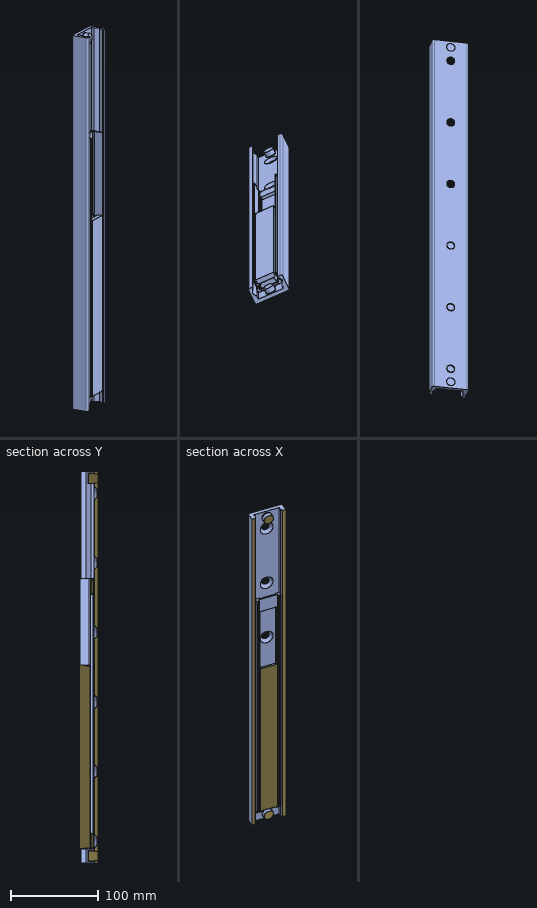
import cadquery as cq

overall_depth = 22.0

rail_length = 450.0
rail_width = 43.0
rail_depth = 21.0
rail_back = -overall_depth / 2
rail_edge_radius = 2.2
web_thickness = 5.0
flange_thickness = 6.0
hole_diameter = 9.0
hole_count = 6
hole_inset = 25.0
countersink_diameter = 16.0

raceway_x = 3.0
rail_groove_width = 11.2
rail_groove_depth = 3.0
slider_groove_width = 6.5
slider_groove_depth = 3.0

slider_length = 211.5
slider_bottom = 16.0
slider_back = -2.0
slider_front = overall_depth / 2
slider_width = 22.5
plate_thickness = 6.5
recess_width = 19.0
recess_depth = 1.0

cage_length = 310.5
cage_width = 30.0
web_clearance = 0.5
bridge_thickness = 3.5
bridge_nose_radius = 3.0
bridge_length = 18.0
bridge_width = 20.5
strip_thickness = 2.5
root_front = 0.0
root_thickness = 3.0
blade_thickness = 1.5
blade_front = 10.5

stop_inset = 8.0
stop_shank_diameter = 10.0
stop_head_diameter = 12.0
stop_head_height = 6.8

rail_front = rail_back + rail_depth
web_front = rail_back + web_thickness
channel_width = rail_width - 2 * flange_thickness
cage_back = web_front + web_clearance
cage_web_front = cage_back + bridge_thickness
hole_pitch = (rail_length - 2 * hole_inset) / (hole_count - 1)
hole_heights = [hole_inset + i * hole_pitch for i in range(hole_count)]
countersink_depth = (countersink_diameter - hole_diameter) / 2
stop_heights = [stop_inset, rail_length - stop_inset]


def slab(x_range, y_range, z_range):
    """A box between the given limits along X, Y and Z."""
    (x0, x1), (y0, y1), (z0, z1) = x_range, y_range, z_range
    return cq.Workplane("XY").box(x1 - x0, y1 - y0, z1 - z0, centered=False).translate((x0, y0, z0))


def centred_slab(x_range, width, z_range):
    """A box of the given width along Y, centred on the XZ plane."""
    return slab(x_range, (-width / 2, width / 2), z_range)


def x_cylinder(diameter, x_range, z):
    """A cylinder along X, centred on y = 0 at height z."""
    x0, x1 = x_range
    return cq.Workplane("YZ", origin=(x0, 0, z)).circle(diameter / 2).extrude(x1 - x0)


def v_grooves(surface_y, width, apex_y):
    """A mirrored pair of V-shaped bars that run the full height at y = +/- surface_y."""
    groove = (
        cq.Workplane("XY")
        .moveTo(raceway_x - width / 2, surface_y)
        .lineTo(raceway_x, apex_y)
        .lineTo(raceway_x + width / 2, surface_y)
        .close()
        .extrude(rail_length)
    )
    return groove.union(groove.mirror("XZ"))


def countersunk_hole(z):
    """A hole through the rail web with a 90 degree countersink on the channel side."""
    cone = cq.Solid.makeCone(
        hole_diameter / 2,
        countersink_diameter / 2,
        countersink_depth,
        pnt=cq.Vector(web_front - countersink_depth, 0, z),
        dir=cq.Vector(1, 0, 0),
    )
    return x_cylinder(hole_diameter, (rail_back, web_front), z).union(cq.Workplane(cone))


def make_rail():
    z_range = (0, rail_length)
    body = centred_slab((rail_back, rail_front), rail_width, z_range)
    body = body.edges("|Z").fillet(rail_edge_radius)
    body = body.cut(centred_slab((web_front, rail_front), channel_width, z_range))
    body = body.cut(v_grooves(channel_width / 2, rail_groove_width, channel_width / 2 + rail_groove_depth))
    for z in hole_heights:
        body = body.cut(countersunk_hole(z))
    for z in stop_heights:
        body = body.cut(x_cylinder(stop_shank_diameter, (rail_back, web_front), z))
    return body


def make_slider():
    slider_top = slider_bottom + slider_length
    core_range = (slider_back, slider_front - plate_thickness)
    body = centred_slab((slider_back, slider_front), slider_width, (slider_bottom, slider_top))
    for z0 in (slider_bottom, slider_top - recess_depth):
        body = body.cut(centred_slab(core_range, recess_width, (z0, z0 + recess_depth)))
    return body.cut(v_grooves(slider_width / 2, slider_groove_width, slider_width / 2 - slider_groove_depth))


def make_cage():
    z0 = slider_bottom
    z1 = z0 + cage_length
    bridges = centred_slab((cage_back, cage_web_front), bridge_width, (z0, z1))
    bridges = bridges.edges("|Y and <X").fillet(bridge_nose_radius)
    window = (z0 + bridge_length, z1 - bridge_length)
    body = bridges.cut(centred_slab((cage_back, cage_web_front), bridge_width, window))
    strip_back = cage_web_front - strip_thickness
    for y_range in ((bridge_width / 2, cage_width / 2), (-cage_width / 2, -bridge_width / 2)):
        body = body.union(slab((strip_back, cage_web_front), y_range, (z0, z1)))
    root_middle = cage_width / 2 - root_thickness / 2
    for side in (1, -1):
        for thickness, front in ((root_thickness, root_front), (blade_thickness, blade_front)):
            flange = centred_slab((cage_web_front, front), thickness, (z0, z1))
            body = body.union(flange.translate((0, side * root_middle, 0)))
    return body


def make_stop(z):
    shank = x_cylinder(stop_shank_diameter, (rail_back, web_front), z)
    head = x_cylinder(stop_head_diameter, (web_front, web_front + stop_head_height), z)
    return shank.union(head)


rail = make_rail()
slider = make_slider()
cage = make_cage()
stops = [make_stop(z) for z in stop_heights]

result = cq.Compound.makeCompound([rail.val(), slider.val(), cage.val(), *[stop.val() for stop in stops]])